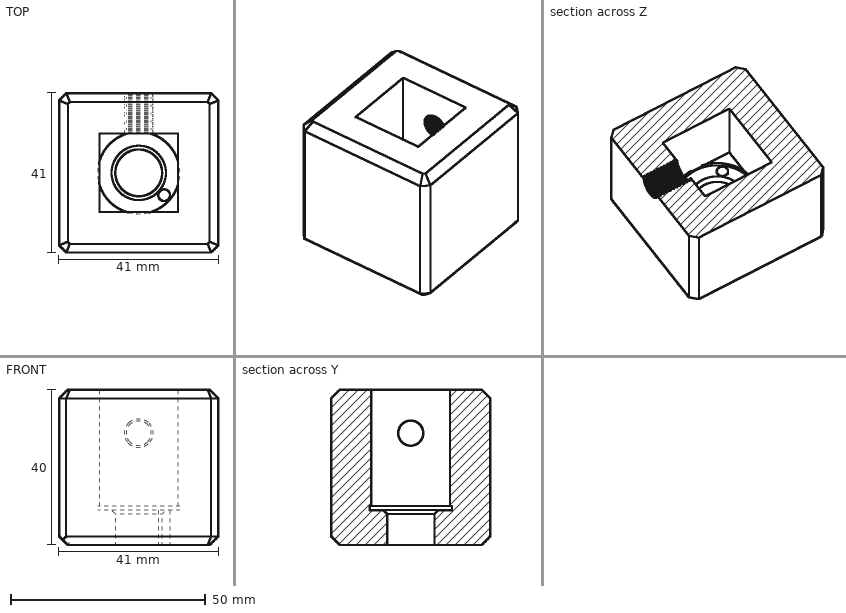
import cadquery as cq
import math

side = 41.0
height = 40.0
upright_chamfer = 1.85
rim_chamfer = 2.25

socket_side = 20.2
socket_depth = 30.0

recess_diameter = 21.1
recess_depth = 1.0

bore_diameter = 12.0
bore_chamfer = 1.0
pin_hole_diameter = 2.96
pin_hole_x = 6.55
pin_hole_y = -5.75

screw_minor_diameter = 6.4
screw_major_diameter = 7.4
screw_pitch = 1.0
screw_crest = 0.3
screw_root = 0.4
screw_drop = 11.2

recess_floor_z = height - socket_depth - recess_depth


def plain_block():
    return cq.Workplane("XY").box(side, side, height, centered=(True, True, False))


def chamfer_uprights(block):
    return block.edges("|Z").chamfer(upright_chamfer)


def chamfer_rims(block):
    return block.faces("<Z or >Z").edges().chamfer(rim_chamfer)


def chamfered_block():
    """Block with faceted corners, except a plain mitre at the -X, -Y, -Z corner."""
    faceted = chamfer_rims(chamfer_uprights(plain_block()))
    mitred = chamfer_rims(plain_block()).intersect(chamfer_uprights(plain_block()))
    corner = cq.Workplane("XY").box(side / 2, side / 2, height / 2, centered=False)
    corner = corner.translate((-side / 2, -side / 2, 0))
    return faceted.union(mitred.intersect(corner)).clean()


def square_socket():
    top = cq.Workplane("XY").workplane(offset=height)
    return top.rect(socket_side, socket_side).extrude(-socket_depth)


def floor_recess():
    floor = cq.Workplane("XY").workplane(offset=recess_floor_z)
    return floor.circle(recess_diameter / 2).extrude(recess_depth)


def center_bore():
    """Through bore with a conical lead-in at the recess floor."""
    radius = bore_diameter / 2
    profile = (
        cq.Workplane("XZ")
        .lineTo(radius, 0)
        .lineTo(radius, recess_floor_z - bore_chamfer)
        .lineTo(radius + bore_chamfer, recess_floor_z)
        .lineTo(0, recess_floor_z)
        .close()
    )
    return profile.revolve(360, (0, 0, 0), (0, 1, 0))


def pin_hole():
    start = cq.Workplane("XY").center(pin_hole_x, pin_hole_y)
    return start.circle(pin_hole_diameter / 2).extrude(recess_floor_z)


def screw_hole():
    """Threaded hole along +Y, its thread a row of ring grooves one pitch apart."""
    minor_radius = screw_minor_diameter / 2
    major_radius = screw_major_diameter / 2
    flank = (screw_pitch - screw_crest - screw_root) / 2
    wall_start = socket_side / 2
    groove_count = math.ceil((side / 2 - wall_start) / screw_pitch)
    profile = cq.Workplane("XY").moveTo(0, wall_start).lineTo(minor_radius, wall_start)
    for groove in range(groove_count):
        crest_end = wall_start + groove * screw_pitch + screw_crest
        root_start = crest_end + flank
        root_end = root_start + screw_root
        profile = profile.lineTo(minor_radius, crest_end)
        profile = profile.lineTo(major_radius, root_start)
        profile = profile.lineTo(major_radius, root_end)
        profile = profile.lineTo(minor_radius, root_end + flank)
    profile = profile.lineTo(0, wall_start + groove_count * screw_pitch).close()
    hole = profile.revolve(360, (0, 0, 0), (0, 1, 0))
    return hole.translate((0, 0, height - screw_drop))


result = (
    chamfered_block()
    .cut(square_socket())
    .cut(floor_recess())
    .cut(center_bore())
    .cut(pin_hole())
    .cut(screw_hole())
)